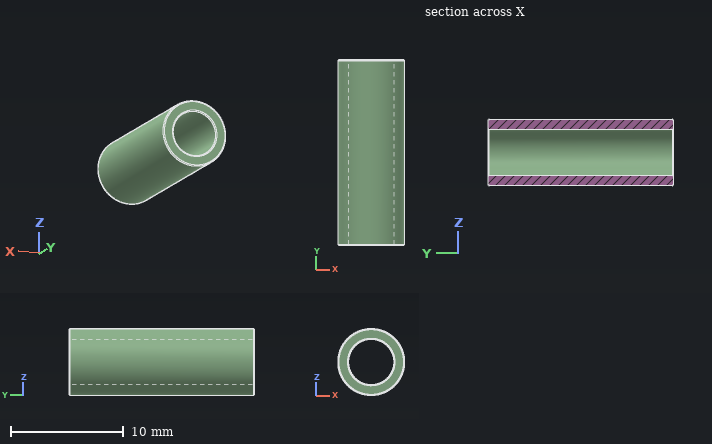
import cadquery as cq

length = 16.5
outer_diameter = 5.95
bore_diameter = 4.03
edge_chamfer = 0.1

sleeve = (
    cq.Workplane("XZ", origin=(0, length / 2, 0))
    .circle(outer_diameter / 2)
    .circle(bore_diameter / 2)
    .extrude(length)
)

result = sleeve.faces("<Y or >Y").edges().chamfer(edge_chamfer)